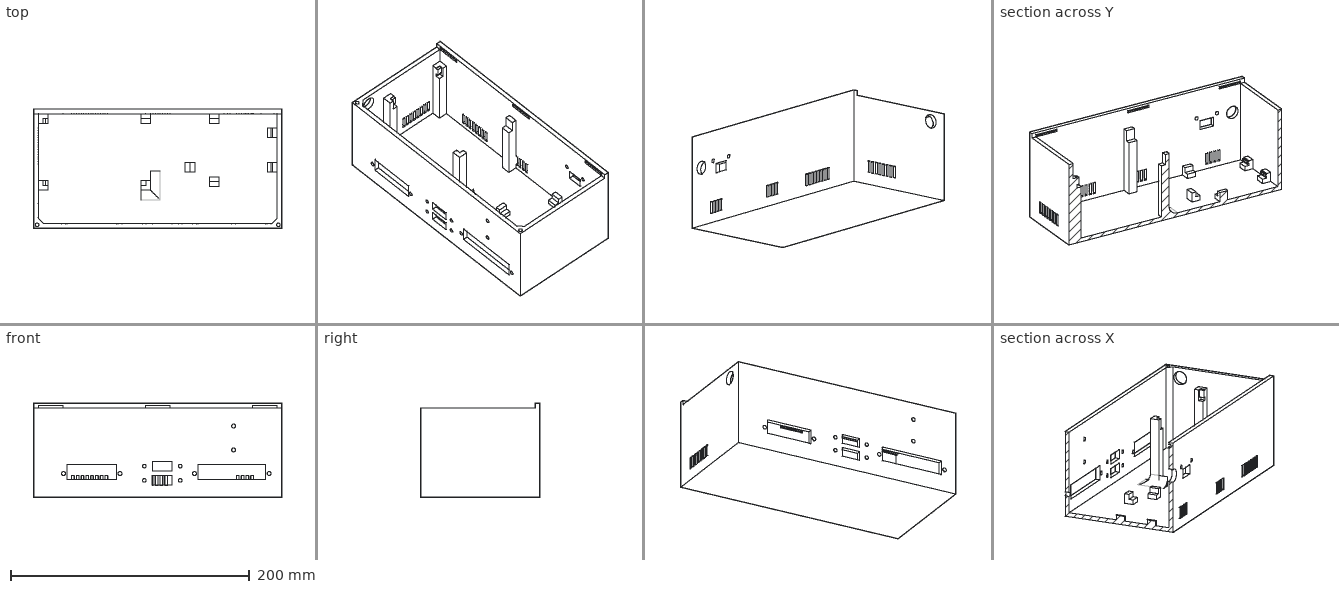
import cadquery as cq

length = 208.0
depth = 100.0
wall = 4.0
floor_top = 4.0
rim_height = 75.0
ridge_height = 79.0
inner_right = length - wall
inner_back = depth - wall

corner_leg = 8.5
screw_diameter = 3.0
screw_depth = 10.0
screw_inset = 3.0

hinge_length = 20.5
hinge_height = 2.0
hinge_depth = 2.0

connector_bottom = 15.0
connector_height = 12.5
connector_screw_z = 20.0
connector_screw_diameter = 3.25
connectors = [(48.75, 41.5, 47.25), (166.0, 56.5, 62.5)]

usb_center_x = 107.8
usb_width = 16.5
usb_height = 8.0
usb_center_heights = (14.25, 26.25)
usb_screw_spacing = 30.0
usb_screw_diameter = 3.0

indicator_x = 167.5
indicator_heights = (39.75, 59.75)
indicator_diameter = 3.25

inlet_x = 196.0
inlet_z = 50.0
inlet_diameter = 11.0
socket_center_x = 171.0
socket_width = 13.0
socket_bottom = 42.0
socket_height = 8.0
socket_screw_spacing = 20.0
socket_screw_z = 53.0
socket_screw_diameter = 3.0

cable_y = 15.0
cable_z = 66.0
cable_diameter = 11.5

vent_width = 2.0
vent_pitch = 4.0
vent_height = 10.0
side_vent_bottom = 10.5
side_vent_first_y = 54.0
side_vent_count = 8
back_vent_bottom = 8.25
back_vent_groups = [(32.0, 8), (98.0, 4), (170.0, 4)]

support = 8.0
ledge = support / 2

left_board_right = 98.0
left_board_front = 32.0
tall_ledge_z = 51.5
tall_top = 61.0
tall_lip_width = 2.0
tall_lip_bottom = 54.0
tall_lip_top = 60.5

foot_size = 8.0

right_board_left = 127.0
right_board_front = 35.25
low_ledge_z = 8.0
low_top = 12.4
middle_clip_x = 147.25
clip_front_y = 47.2
clip_back_y = 76.0
low_lip_width = 1.25
low_lip_bottom = 10.0
low_lip_top = 11.6


def box(x0, x1, y0, y1, z0, z1):
    """Block spanning the given limits along each axis."""
    return cq.Workplane("XY").box(x1 - x0, y1 - y0, z1 - z0, centered=False).translate((x0, y0, z0))


def hole_along_y(x, z, diameter, y_start):
    """Cylinder through a front or back wall that begins at y_start."""
    start = cq.Vector(x, y_start, z)
    return cq.Workplane(cq.Solid.makeCylinder(diameter / 2, wall, start, cq.Vector(0, 1, 0)))


def make_shell():
    body = box(0, length, 0, depth, 0, rim_height)
    cavity = box(wall, inner_right, wall, inner_back, floor_top, rim_height)
    cavity = cavity.edges("|Z and <Y").chamfer(corner_leg - wall)
    ridge = box(0, length, inner_back, depth, rim_height, ridge_height)
    return body.cut(cavity).union(ridge)


def cut_lid_features(body):
    for x in (screw_inset, length - screw_inset):
        start = cq.Vector(x, screw_inset, rim_height - screw_depth)
        body = body.cut(cq.Workplane(cq.Solid.makeCylinder(screw_diameter / 2, screw_depth, start)))
    for x in (wall, (length - hinge_length) / 2, inner_right - hinge_length):
        body = body.cut(box(x, x + hinge_length, inner_back, inner_back + hinge_depth,
                            rim_height, rim_height + hinge_height))
    return body


def cut_front_wall(body):
    for center_x, width, spacing in connectors:
        body = body.cut(box(center_x - width / 2, center_x + width / 2, 0, wall,
                            connector_bottom, connector_bottom + connector_height))
        for x in (center_x - spacing / 2, center_x + spacing / 2):
            body = body.cut(hole_along_y(x, connector_screw_z, connector_screw_diameter, 0))
    for z in usb_center_heights:
        body = body.cut(box(usb_center_x - usb_width / 2, usb_center_x + usb_width / 2, 0, wall,
                            z - usb_height / 2, z + usb_height / 2))
        for x in (usb_center_x - usb_screw_spacing / 2, usb_center_x + usb_screw_spacing / 2):
            body = body.cut(hole_along_y(x, z, usb_screw_diameter, 0))
    for z in indicator_heights:
        body = body.cut(hole_along_y(indicator_x, z, indicator_diameter, 0))
    return body


def cut_back_wall(body):
    body = body.cut(hole_along_y(inlet_x, inlet_z, inlet_diameter, inner_back))
    body = body.cut(box(socket_center_x - socket_width / 2, socket_center_x + socket_width / 2,
                        inner_back, depth, socket_bottom, socket_bottom + socket_height))
    for x in (socket_center_x - socket_screw_spacing / 2, socket_center_x + socket_screw_spacing / 2):
        body = body.cut(hole_along_y(x, socket_screw_z, socket_screw_diameter, inner_back))
    for first_x, count in back_vent_groups:
        for i in range(count):
            x = first_x + i * vent_pitch
            body = body.cut(box(x, x + vent_width, inner_back, depth,
                                back_vent_bottom, back_vent_bottom + vent_height))
    return body


def cut_left_wall(body):
    start = cq.Vector(0, cable_y, cable_z)
    cable = cq.Solid.makeCylinder(cable_diameter / 2, wall, start, cq.Vector(1, 0, 0))
    body = body.cut(cq.Workplane(cable))
    for i in range(side_vent_count):
        y = side_vent_first_y + i * vent_pitch
        body = body.cut(box(0, wall, y, y + vent_width,
                            side_vent_bottom, side_vent_bottom + vent_height))
    return body


def tall_post(x, y, notch_x, notch_y, notch_width=ledge):
    """Post with a board seat cut into its top at (notch_x, notch_y)."""
    post = box(x, x + support, y, y + support, floor_top, tall_top)
    seat = box(notch_x, notch_x + notch_width, notch_y, notch_y + ledge, tall_ledge_z, tall_top)
    return post.cut(seat)


def add_tall_posts(body):
    right_x = left_board_right - support
    front_y = left_board_front
    back_y = inner_back - support
    seat_x = wall + ledge
    for y, seat_y in ((front_y, front_y + ledge), (back_y, back_y)):
        body = body.union(tall_post(wall, y, seat_x, seat_y))
        body = body.union(box(seat_x, seat_x + tall_lip_width, seat_y, seat_y + ledge,
                              tall_lip_bottom, tall_lip_top))
    body = body.union(tall_post(right_x, front_y, right_x, front_y + ledge))
    return body.union(tall_post(right_x, back_y, right_x, back_y, support))


def add_post_foot(body):
    """Concave flare along the front and right of the free front right post."""
    x0 = left_board_right - support
    x1 = left_board_right + foot_size
    y0 = left_board_front - foot_size
    y1 = left_board_front + support + foot_size
    top = floor_top + foot_size
    foot = box(x0, x1, y0, y1, floor_top, top)
    right_hollow = cq.Workplane("XZ", origin=(x1, y1, top)).circle(foot_size).extrude(y1 - y0)
    front_hollow = cq.Workplane("YZ", origin=(x0, y0, top)).circle(foot_size).extrude(x1 - x0)
    behind_post = box(x0, left_board_right, left_board_front + support, y1, floor_top, top)
    return body.union(foot.cut(right_hollow).cut(front_hollow).cut(behind_post))


def low_clip(x, y, stop_x, stop_y, stop_length, stop_depth):
    """Low block at (x, y) with a raised stop of size stop_length by stop_depth."""
    seat = box(x, x + support, y, y + support, floor_top, low_ledge_z)
    stop = box(stop_x, stop_x + stop_length, stop_y, stop_y + stop_depth, low_ledge_z, low_top)
    return seat.union(stop)


def add_low_clips(body):
    back_y = inner_back - support
    right_x = inner_right - support
    stop_x = inner_right - ledge
    front_y = right_board_front
    left_x = right_board_left
    body = body.union(low_clip(middle_clip_x, front_y, middle_clip_x, front_y, support, ledge))
    body = body.union(low_clip(middle_clip_x, back_y, middle_clip_x, back_y + ledge, support, ledge))
    body = body.union(low_clip(left_x, clip_front_y, left_x, clip_front_y, ledge, support))
    for y in (clip_front_y, clip_back_y):
        body = body.union(low_clip(right_x, y, stop_x, y, ledge, support))
        body = body.union(box(stop_x - low_lip_width, stop_x, y, y + support,
                              low_lip_bottom, low_lip_top))
    return body


result = make_shell()
result = cut_lid_features(result)
result = cut_front_wall(result)
result = cut_back_wall(result)
result = cut_left_wall(result)
result = add_tall_posts(result)
result = add_post_foot(result)
result = add_low_clips(result)